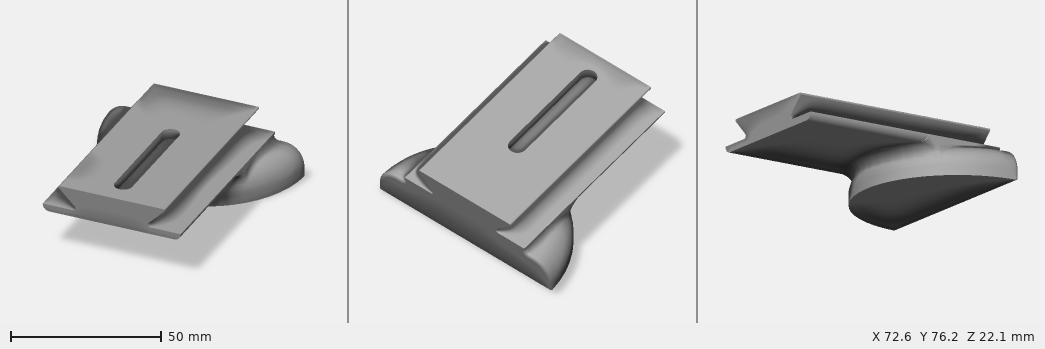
import cadquery as cq
import math

plate_length = 76.2
total_height = 22.1
flange_width = 50.45
flange_top = 14.0
flange_bottom = 11.5
flange_rounding = 2.45
groove_apex_half_width = 12.0
groove_root_radius = 0.9
dovetail_tip_radius = 0.45

slot_length = 44.35
slot_width = 6.4
slot_center_y = -9.6
slot_depth = 3.8

base_diameter = 72.6
base_shoulder_radius = 7.6
side_blend_radius = 1.5
front_blend_radius = 3.05
back_edge_radius = 1.15
waist_corner_radius = 2.3

back_y = plate_length / 2
base_radius = base_diameter / 2
shoulder_z = flange_bottom - base_shoulder_radius
shoulder_center = base_radius - base_shoulder_radius
selection_margin = 0.1
blend_tolerance = 0.001


def extrude_along_plate(profile):
    return profile.extrude(plate_length / 2, both=True)


def make_plate():
    flange = extrude_along_plate(
        cq.Workplane("XZ")
        .center(0, (flange_top + flange_bottom) / 2)
        .rect(flange_width, flange_top - flange_bottom)
    )
    flange = flange.faces("<Z").edges("|Y").fillet(flange_rounding)

    tip_half_width = groove_apex_half_width + total_height - flange_top
    dovetail = extrude_along_plate(
        cq.Workplane("XZ").polyline([
            (-groove_apex_half_width, flange_top),
            (groove_apex_half_width, flange_top),
            (tip_half_width, total_height),
            (-tip_half_width, total_height),
        ]).close()
    )
    dovetail = dovetail.faces(">Z").edges("|Y").fillet(dovetail_tip_radius)
    plate = flange.union(dovetail)
    roots = cq.selectors.BoxSelector(
        (-groove_apex_half_width - selection_margin, -plate_length, flange_top - selection_margin),
        (groove_apex_half_width + selection_margin, plate_length, flange_top + selection_margin),
    )
    return plate.edges("|Y").edges(roots).fillet(groove_root_radius)


def make_blended_base():
    """Half-round base with a neck the width of the flange, blended along its sides."""
    disc = cq.Workplane("XY").center(0, back_y).circle(base_radius).extrude(flange_bottom)
    disc = disc.faces(">Z").edges().fillet(base_shoulder_radius)
    front_half = cq.Workplane("XY").box(
        2 * base_radius, 2 * base_radius, total_height, centered=(True, True, False)
    ).translate((0, back_y - base_radius, 0))
    neck_length = base_radius + 2 * front_blend_radius
    neck = cq.Workplane("XY").box(
        flange_width, neck_length, flange_top, centered=(True, False, False)
    ).translate((0, back_y - neck_length, 0))
    base = disc.intersect(front_half).union(neck)

    half_width = flange_width / 2
    front_y = back_y - math.sqrt(base_radius**2 - half_width**2)
    for side in (-1, 1):
        seam = cq.selectors.BoxSelector(
            (side * half_width - selection_margin, front_y, selection_margin),
            (side * half_width + selection_margin, back_y - selection_margin, flange_top - selection_margin),
        )
        base = base.edges(seam).fillet(side_blend_radius)
    back_edges = base.faces(">Y").edges().filter(
        lambda edge: edge.Center().z < flange_top - selection_margin
    )
    return back_edges.fillet(back_edge_radius)


def make_front_limit():
    """Solid of revolution whose concave waist blends the base up into the plate's underside."""
    blend_z = flange_bottom - front_blend_radius
    center_distance = base_shoulder_radius + front_blend_radius
    lean = math.asin((blend_z - shoulder_z) / center_distance)
    blend_center = shoulder_center + center_distance * math.cos(lean)

    def on_shoulder(angle):
        return (
            shoulder_center + base_shoulder_radius * math.cos(angle),
            shoulder_z + base_shoulder_radius * math.sin(angle),
        )

    middle = (math.pi / 2 + math.pi + lean) / 2
    blend_middle = (
        blend_center + front_blend_radius * math.cos(middle),
        blend_z + front_blend_radius * math.sin(middle),
    )
    return (
        cq.Workplane("XZ")
        .lineTo(base_radius, 0)
        .lineTo(base_radius, shoulder_z)
        .threePointArc(on_shoulder(lean / 2), on_shoulder(lean))
        .threePointArc(blend_middle, (blend_center, flange_bottom))
        .lineTo(blend_center, flange_top)
        .lineTo(0, flange_top)
        .close()
        .revolve(360, (0, 0), (0, 1))
        .translate((0, back_y, 0))
    )


def make_slot():
    return (
        cq.Workplane("XY", origin=(0, slot_center_y, total_height))
        .slot2D(slot_length, slot_width, 90)
        .extrude(-slot_depth)
    )


def round_waist_corners(base):
    """Round the +X edge between neck side and concave waist, then mirror that half to -X."""
    half_width = flange_width / 2
    waist_z = flange_bottom - front_blend_radius
    waist_y = back_y - math.sqrt(base_radius**2 - half_width**2)
    corner = cq.selectors.BoxSelector(
        (half_width - selection_margin, waist_y - front_blend_radius, waist_z),
        (half_width + selection_margin, waist_y + front_blend_radius, flange_bottom),
    )
    rounded = base.edges(corner).fillet(waist_corner_radius)
    right_side = cq.Workplane("XY").box(
        plate_length, 2 * plate_length, 2 * total_height, centered=(False, True, True)
    )
    right_half = rounded.intersect(right_side)
    return right_half.union(right_half.mirror("YZ"))


base = make_blended_base().intersect(make_front_limit(), tol=blend_tolerance)
base = round_waist_corners(base)
result = make_plate().union(base).cut(make_slot())